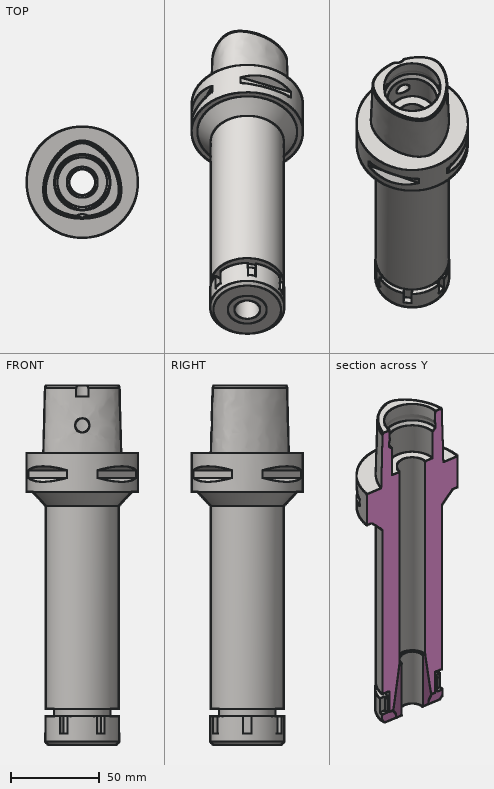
import cadquery as cq
import math


shank_height = 38.0
shank_base_radius = 22.1
lobe_height = 1.45
taper_ratio = 1 / 40
shank_chamfer_height = 1.3
shank_chamfer_width = 0.6
lobe_count = 3
outline_points = 48

notch_radius = 4.5
notch_floor_y = -18.0
notch_height = 6.2
cross_hole_diameter = 8.0
cross_hole_depth_from_top = 22.5

shank_mouth_radius = 15.9
shank_bore_radius = 15.4
relief_radius = 16.0
inner_bore_radius = 14.0
relief_start_depth = 7.0
relief_full_depth = 9.5
seat_start_depth = 11.5
seat_end_depth = seat_start_depth + relief_radius - inner_bore_radius
inner_bore_depth = 32.0

flange_radius = 31.5
flange_height = 22.0
groove_floor_distance = 27.5
groove_floor_height = 4.2
groove_flank_angle = 30.0
groove_center_z = -12.0
groove_count = 4

cone_top_radius = 28.2
body_radius = 20.7
cone_height = 8.0
body_end_z = -144.5
nose_radius = 16.0

overall_height = 203.0
nut_bottom_z = shank_height - overall_height
nut_radius = 21.0
nut_height = 16.3
nut_chamfer = 1.9
nut_floor_thickness = 6.0
nut_slot_width = 4.6
nut_slot_depth = 3.6
nut_slot_height = 9.7
nut_slot_count = 6
nut_top_z = nut_bottom_z + nut_height
nose_end_z = nut_bottom_z + nut_floor_thickness

collet_bore_radius = 7.25
collet_large_radius = 13.0
collet_back_radius = 8.75
collet_half_angle = 8.0
collet_front_radius = 11.0
collet_seat_angle = 30.0
collet_seat_width = collet_large_radius - collet_front_radius
collet_seat_height = collet_seat_width / math.tan(math.radians(collet_seat_angle))
collet_taper_width = collet_large_radius - collet_back_radius
collet_taper_length = collet_taper_width / math.tan(math.radians(collet_half_angle))
collet_back_z = nose_end_z + collet_taper_length
collet_seat_end_z = nose_end_z - collet_seat_height


def turned(profile):
    """Solid of revolution about Z from (radius, z) points, starting on the -Y side."""
    solid = cq.Workplane("XZ").polyline(profile).close().revolve(360, (0, 0), (0, 1))
    return solid.rotate((0, 0, 0), (0, 0, 1), -90)


def trilobe_point(mean_radius, angle):
    """Point of a constant-width trilobe with one lobe toward +Y."""
    phase = lobe_count * (angle - math.pi / 2)
    reach = mean_radius + lobe_height * math.cos(phase)
    slide = -lobe_count * lobe_height * math.sin(phase)
    x = reach * math.cos(angle) - slide * math.sin(angle)
    y = reach * math.sin(angle) + slide * math.cos(angle)
    return x, y


def trilobe_wire(mean_radius, z):
    """Closed trilobe outline at height z, starting on the -Y side."""
    step = 2 * math.pi / outline_points
    points = [trilobe_point(mean_radius, i * step - math.pi / 2) for i in range(outline_points)]
    return cq.Workplane("XY", origin=(0, 0, z)).spline(points, periodic=True).close().val()


def make_shank():
    edge_z = shank_height - shank_chamfer_height
    edge_radius = shank_base_radius - edge_z * taper_ratio
    top_radius = edge_radius - shank_chamfer_width
    base = trilobe_wire(shank_base_radius, 0)
    edge = trilobe_wire(edge_radius, edge_z)
    top = trilobe_wire(top_radius, shank_height)
    return cq.Workplane(cq.Solid.makeLoft([base, edge, top], True))


def make_body():
    cone_end_z = -flange_height - cone_height
    return turned([
        (0, 0),
        (flange_radius, 0),
        (flange_radius, -flange_height),
        (cone_top_radius, -flange_height),
        (body_radius, cone_end_z),
        (body_radius, body_end_z),
        (nose_radius, body_end_z),
        (nose_radius, nose_end_z),
        (0, nose_end_z),
    ])


def make_holder_bore():
    """Stepped bore from the shank top, ending in the taper that takes the collet."""
    return turned([
        (0, shank_height),
        (shank_mouth_radius, shank_height),
        (shank_bore_radius, shank_height - relief_start_depth),
        (relief_radius, shank_height - relief_full_depth),
        (relief_radius, shank_height - seat_start_depth),
        (inner_bore_radius, shank_height - seat_end_depth),
        (inner_bore_radius, shank_height - inner_bore_depth),
        (collet_back_radius, shank_height - inner_bore_depth),
        (collet_back_radius, collet_back_z),
        (collet_large_radius, nose_end_z),
        (0, nose_end_z),
    ])


def make_notch():
    floor_z = shank_height - notch_height
    center_y = notch_floor_y - notch_radius
    return cq.Workplane("XY", origin=(0, center_y, floor_z)).circle(notch_radius).extrude(notch_height)


def make_cross_hole():
    """Radial hole from the -Y side into the shank bore."""
    hole_z = shank_height - cross_hole_depth_from_top
    plane = cq.Workplane("XZ", origin=(0, 0, hole_z))
    return plane.circle(cross_hole_diameter / 2).extrude(flange_radius)


def make_gripper_groove():
    """Straight groove across the +X side of the flange, with sloped flanks."""
    depth = flange_radius - groove_floor_distance
    floor_half = groove_floor_height / 2
    mouth_half = floor_half + depth * math.tan(math.radians(groove_flank_angle))
    profile = [
        (groove_floor_distance, groove_center_z - floor_half),
        (flange_radius, groove_center_z - mouth_half),
        (flange_radius, groove_center_z + mouth_half),
        (groove_floor_distance, groove_center_z + floor_half),
    ]
    return cq.Workplane("XZ").polyline(profile).close().extrude(flange_radius, both=True)


def make_holder():
    holder = make_body().union(make_shank())
    holder = holder.cut(make_holder_bore()).cut(make_notch()).cut(make_cross_hole())
    groove = make_gripper_groove()
    for i in range(groove_count):
        angle = (i + 0.5) * 360 / groove_count
        holder = holder.cut(groove.rotate((0, 0, 0), (0, 0, 1), angle))
    return holder


def make_nut():
    nut = turned([
        (nose_radius, nut_top_z),
        (nut_radius, nut_top_z),
        (nut_radius, nut_bottom_z + nut_chamfer),
        (nut_radius - nut_chamfer, nut_bottom_z),
        (collet_front_radius, nut_bottom_z),
        (collet_front_radius, collet_seat_end_z),
        (collet_large_radius, nose_end_z),
        (nose_radius, nose_end_z),
    ])
    slot = cq.Workplane("XY").box(
        nut_slot_depth, nut_slot_width, nut_slot_height, centered=(False, True, False)
    ).translate((nut_radius - nut_slot_depth, 0, nut_top_z - nut_slot_height))
    for i in range(nut_slot_count):
        nut = nut.cut(slot.rotate((0, 0, 0), (0, 0, 1), i * 360 / nut_slot_count))
    return nut


def make_collet():
    return turned([
        (collet_bore_radius, collet_back_z),
        (collet_back_radius, collet_back_z),
        (collet_large_radius, nose_end_z),
        (collet_front_radius, collet_seat_end_z),
        (collet_front_radius, nut_bottom_z),
        (collet_bore_radius, nut_bottom_z),
    ])


holder = make_holder().solids()
nut = make_nut().solids()
collet = make_collet().solids()
result = cq.Compound.makeCompound([holder.val(), nut.val(), collet.val()])